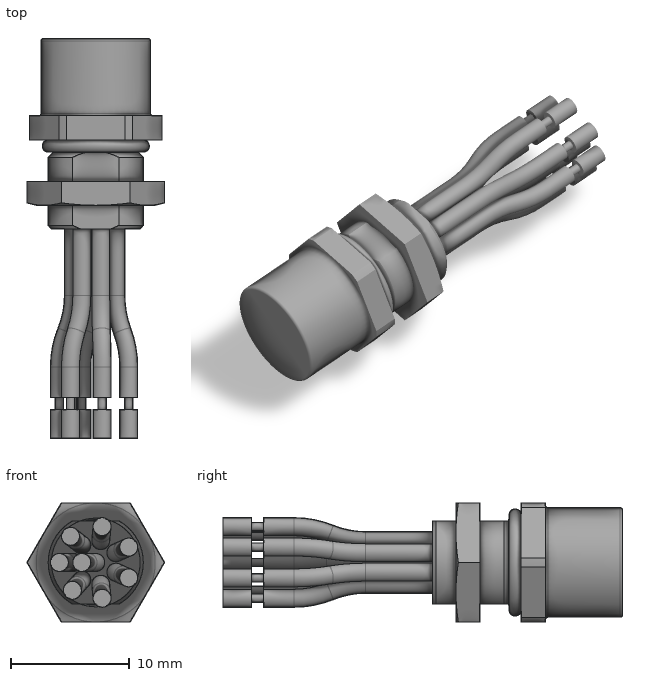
import cadquery as cq
import math

flange_thickness = 2.05
cap_length = 6.48
seal_thickness = 1.0
thread_start = -1.45
nut_back = -3.45
nut_thickness = 2.0
body_front = -7.45
bend_start = -13.05
bend_end = -19.08
insulation_end = -21.63
tip_back = -22.65
overall_length = 33.6
wire_end = flange_thickness + cap_length - overall_length

across_flats = 10.0
flange_corner_diameter = 11.15
cap_diameter = 9.2
cap_fillet = 0.2
seal_diameter = 9.0
thread_diameter = 8.0
body_flats = 7.0
neck_diameter = 7.2
thread_end_diameter = 7.45
thread_end_chamfer = 0.3
nut_bore = 7.45
nut_chamfer_height = 0.2

wire_diameter = 1.5
core_diameter = 0.7
wire_embed = 0.35
root_radius = 1.88
tip_radius = 3.05
tip_angles = [25, 80, 134, 180, 230, 280, 335]
center_tip = (-1.18, 0)


def disc(diameter, front, back):
    """Cylinder on the main axis between two Y stations."""
    return cq.Workplane("XZ", origin=(0, back, 0)).circle(diameter / 2).extrude(back - front)


def hexagon(front, back):
    """Hexagonal prism with two corners on the X axis."""
    corner_diameter = across_flats / math.cos(math.pi / 6)
    return cq.Workplane("XZ", origin=(0, back, 0)).polygon(6, corner_diameter).extrude(back - front)


def make_housing():
    cap_end = flange_thickness + cap_length
    cap = disc(cap_diameter, flange_thickness, cap_end)
    flange = hexagon(0, flange_thickness).intersect(disc(flange_corner_diameter, 0, flange_thickness))
    cap_ends = cq.selectors.RadiusNthSelector(0)
    return cap.union(flange).edges("%CIRCLE").edges(cap_ends).fillet(cap_fillet)


def make_seal():
    tube_radius = seal_thickness / 2
    ring_radius = seal_diameter / 2 - tube_radius
    section = cq.Plane(origin=(ring_radius, -tube_radius, 0), xDir=(-1, 0, 0), normal=(0, 0, 1))
    return cq.Workplane(section).circle(tube_radius).revolve(360, (ring_radius, 0, 0), (ring_radius, 1, 0))


def make_threaded_body():
    neck_radius = neck_diameter / 2
    thread_radius = thread_diameter / 2
    cone_length = thread_radius - neck_radius
    turned = (
        cq.Workplane("XY")
        .moveTo(0, 0)
        .lineTo(neck_radius, 0)
        .lineTo(neck_radius, thread_start + cone_length)
        .lineTo(thread_radius, thread_start)
        .lineTo(thread_radius, body_front + thread_end_chamfer)
        .lineTo(thread_end_diameter / 2, body_front)
        .lineTo(0, body_front)
        .close()
        .revolve(360, (0, 0, 0), (0, 1, 0))
    )
    flats_end = thread_start + cone_length
    flat_length = flats_end - body_front
    waste_height = thread_diameter - body_flats
    waste = cq.Workplane("XY").box(thread_diameter, flat_length, waste_height)
    waste_y = (flats_end + body_front) / 2
    waste_z = (body_flats + waste_height) / 2
    for side in (-1, 1):
        turned = turned.cut(waste.translate((0, waste_y, side * waste_z)))
    return turned


def make_nut():
    nut_front = nut_back - nut_thickness
    face_radius = across_flats / 2
    corner_radius = face_radius / math.cos(math.pi / 6)
    chamfer_cone = (
        cq.Workplane("XY")
        .moveTo(0, nut_front)
        .lineTo(face_radius, nut_front)
        .lineTo(corner_radius, nut_front + nut_chamfer_height)
        .lineTo(corner_radius, nut_back)
        .lineTo(0, nut_back)
        .close()
        .revolve(360, (0, 0, 0), (0, 1, 0))
    )
    blank = hexagon(nut_front, nut_back).intersect(chamfer_cone)
    return blank.cut(disc(nut_bore, nut_front, nut_back))


def make_wire(root, tip):
    """Wire from root to tip (X, Z): straight, S-bend of two equal arcs, bare core, insulated tip."""
    offset_x = tip[0] - root[0]
    offset_z = tip[1] - root[1]
    offset = math.hypot(offset_x, offset_z)
    bend_plane = cq.Plane(
        origin=(root[0], 0, root[1]),
        xDir=(offset_x, 0, offset_z),
        normal=(-offset_z, 0, offset_x),
    )
    wire_start = body_front + wire_embed
    path = (
        cq.Workplane(bend_plane)
        .moveTo(0, wire_start)
        .lineTo(0, bend_start)
        .tangentArcPoint((offset / 2, (bend_start + bend_end) / 2), relative=False)
        .tangentArcPoint((offset, bend_end), relative=False)
        .lineTo(offset, insulation_end)
    )
    insulated = (
        cq.Workplane("XZ", origin=(root[0], wire_start, root[1])).circle(wire_diameter / 2).sweep(path)
    )
    core = disc(core_diameter, tip_back, insulation_end)
    end = disc(wire_diameter, wire_end, tip_back)
    return insulated.union(core.union(end).translate((tip[0], 0, tip[1])))


def on_circle(radius, angle):
    return (radius * math.cos(math.radians(angle)), radius * math.sin(math.radians(angle)))


result = make_housing().union(make_seal()).union(make_threaded_body()).union(make_nut())
result = result.union(make_wire((0, 0), center_tip))
root_pitch = 360 / len(tip_angles)
for index, tip_angle in enumerate(tip_angles):
    root_angle = root_pitch * (index + 0.5)
    result = result.union(make_wire(on_circle(root_radius, root_angle), on_circle(tip_radius, tip_angle)))